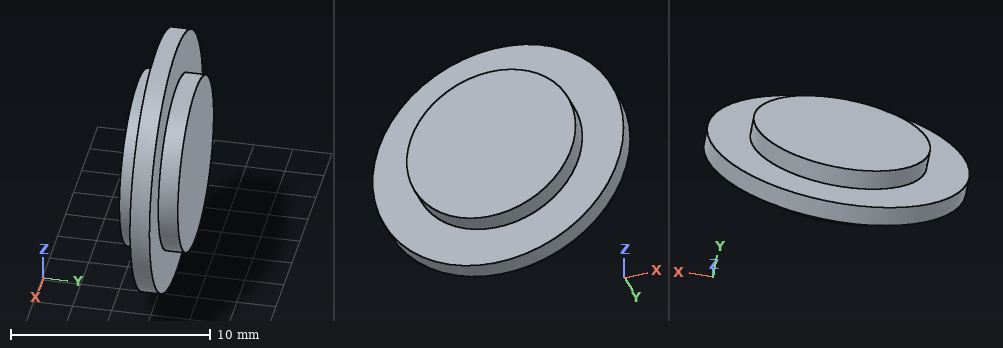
import cadquery as cq

flange_diameter = 13.4
boss_diameter = 9.0
total_thickness = 3.0

layer_thickness = total_thickness / 3


def disc_along_y(diameter, thickness):
    """Disc with its axis on Y, centred on the origin."""
    back_face = cq.Workplane("XZ", origin=(0, thickness / 2, 0))
    return back_face.circle(diameter / 2).extrude(thickness)


flange = disc_along_y(flange_diameter, layer_thickness)

bosses = disc_along_y(boss_diameter, total_thickness)

result = flange.union(bosses)